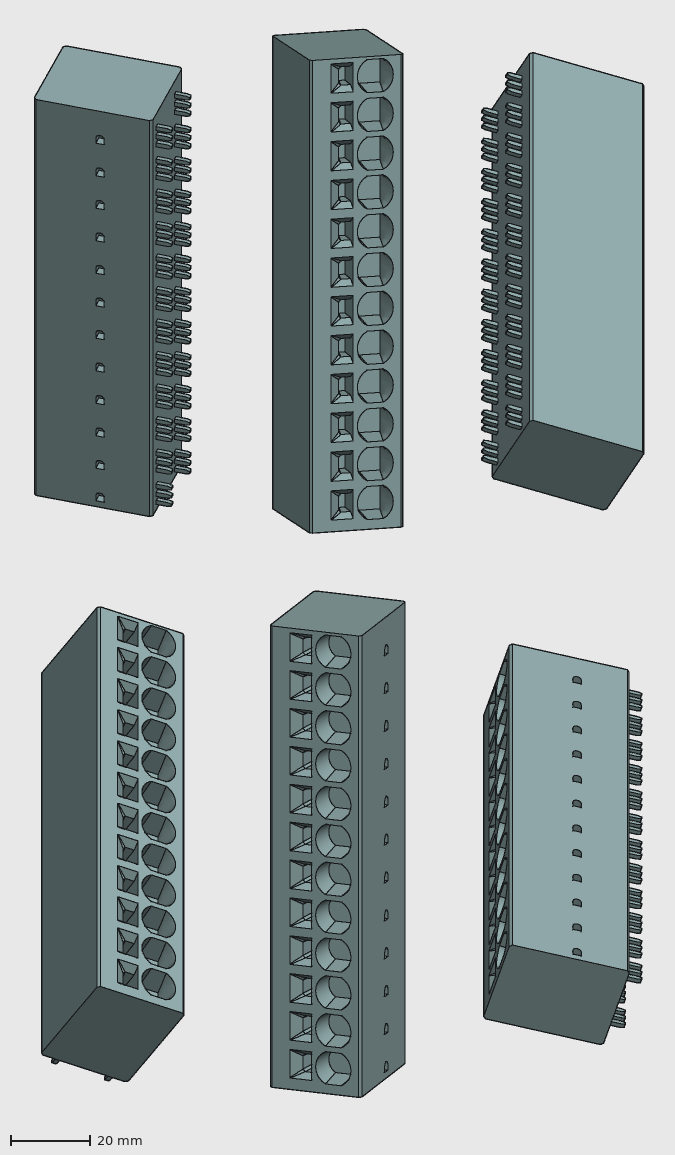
import cadquery as cq
import math

length = 121.8
width = 24.7
overall_depth = 35.5
pin_length = 4.0
housing_depth = overall_depth - pin_length
edge_chamfer = 0.67
entry_face_x = -overall_depth / 2
pin_face_x = entry_face_x + housing_depth

pole_count = 12
end_plate = 1.8
pole_pitch = (length - end_plate) / pole_count
first_pole_z = length / 2 - pole_pitch / 2
pole_centres = [first_pole_z - i * pole_pitch for i in range(pole_count)]

cavity_depth = 7.0

wire_y = -4.9
mouth_radius = 4.8
mouth_half_height = 4.3
floor_radius = 3.9
floor_half_height = 3.3
floor_flat_offset = 3.4

window_straight_y = 1.0
window_mouth_width = 5.8
window_mouth_height = 7.5
window_throat_width = 3.2
window_throat_height = 4.8
window_floor_width = 2.2
window_floor_height = 4.4
window_mouth_corner = 0.1
window_inner_corner = 0.6
funnel_depth = 2.2

slot_x = -0.1
slot_width = 2.2
slot_height = 2.5
slot_depth = 2.4

pin_size = 1.2
pin_tip_height = 0.6
pin_taper_length = 1.0
pin_pitch = pole_pitch / 4
pin_group_offset = -2.0
pins_per_row = 3
pin_row_ys = (6.5, -8.5)


def make_housing():
    housing = cq.Workplane("XY").box(housing_depth, width, length)
    housing = housing.edges("|Z").chamfer(edge_chamfer)
    return housing.translate((entry_face_x + housing_depth / 2, 0, 0))


def entry_plane(depth=0.0):
    """Plane parallel to the entry face, with local axes along Y and Z."""
    return cq.Workplane("YZ", origin=(entry_face_x + depth, 0, 0))


def make_wire_entry():
    """Wire-entry cavity of a pole centred on Z = 0, lofted from mouth to floor."""
    mouth_half_flat = math.sqrt(mouth_radius**2 - mouth_half_height**2)
    mouth_arc_y = mouth_radius * math.cos(math.pi / 4)
    mouth_arc_z = mouth_radius * math.sin(math.pi / 4)
    floor_half_flat = math.sqrt(floor_radius**2 - floor_half_height**2)
    mouth = (
        entry_plane().center(wire_y, 0)
        .moveTo(mouth_half_flat, mouth_half_height)
        .lineTo(-mouth_half_flat, mouth_half_height)
        .threePointArc((-mouth_arc_y, mouth_arc_z), (-mouth_radius, 0))
        .threePointArc((-mouth_arc_y, -mouth_arc_z), (-mouth_half_flat, -mouth_half_height))
        .lineTo(mouth_half_flat, -mouth_half_height)
        .threePointArc((mouth_radius, 0), (mouth_half_flat, mouth_half_height))
        .wire()
    )
    floor = (
        entry_plane(cavity_depth).center(wire_y, 0)
        .moveTo(floor_half_flat, floor_half_height)
        .lineTo(-floor_flat_offset, floor_half_height)
        .lineTo(-floor_flat_offset, 0)
        .lineTo(-floor_flat_offset, -floor_half_height)
        .lineTo(floor_half_flat, -floor_half_height)
        .threePointArc((floor_radius, 0), (floor_half_flat, floor_half_height))
        .wire()
    )
    return cq.Workplane(cq.Solid.makeLoft([mouth.val(), floor.val()], True))


def window_outline(opening_width, height, corner):
    """Rectangle on the straight wall with its two far corners cut off."""
    near = window_straight_y
    far = near + opening_width
    top = height / 2
    return [
        (near, -top),
        (far - corner, -top),
        (far, -top + corner),
        (far, top - corner),
        (far - corner, top),
        (near, top),
    ]


def make_window():
    """Release window cavity of a pole centred on Z = 0."""
    mouth = window_outline(window_mouth_width, window_mouth_height, window_mouth_corner)
    throat = window_outline(window_throat_width, window_throat_height, window_inner_corner)
    floor = window_outline(window_floor_width, window_floor_height, window_inner_corner)
    funnel = (
        entry_plane().polyline(mouth).close()
        .workplane(offset=funnel_depth).polyline(throat).close()
        .loft(ruled=True)
    )
    shaft = (
        entry_plane(funnel_depth).polyline(throat).close()
        .workplane(offset=cavity_depth - funnel_depth).polyline(floor).close()
        .loft(ruled=True)
    )
    return funnel.union(shaft)


def make_slot():
    """Arched test slot of a pole centred on Z = 0."""
    half = slot_width / 2
    base_z = -pole_pitch / 2
    spring_z = base_z + slot_height - half
    return (
        cq.Workplane("XZ", origin=(slot_x, -width / 2, 0))
        .moveTo(-half, base_z)
        .lineTo(half, base_z)
        .lineTo(half, spring_z)
        .threePointArc((0, base_z + slot_height), (-half, spring_z))
        .close()
        .extrude(-slot_depth)
    )


def make_pin(y, z):
    """Square pin standing on the pin face, tapered in Z at its tip."""
    tip_x = pin_face_x + pin_length
    taper_x = tip_x - pin_taper_length
    half = pin_size / 2
    half_tip = pin_tip_height / 2
    outline = [
        (pin_face_x, -half),
        (taper_x, -half),
        (tip_x, -half_tip),
        (tip_x, half_tip),
        (taper_x, half),
        (pin_face_x, half),
    ]
    return cq.Workplane("XZ", origin=(0, y, z)).polyline(outline).close().extrude(half, both=True)


def compound(workplanes):
    """Gather separate solids so that one boolean handles them all."""
    return cq.Workplane(cq.Compound.makeCompound([part.val() for part in workplanes]))


cavity_shapes = (make_wire_entry(), make_window(), make_slot())
cavities = [cavity.translate((0, 0, z)) for cavity in cavity_shapes for z in pole_centres]

pin_offsets = [pin_group_offset + (i - (pins_per_row - 1) / 2) * pin_pitch for i in range(pins_per_row)]
pins = [make_pin(y, z + offset) for y in pin_row_ys for z in pole_centres for offset in pin_offsets]

result = make_housing().cut(compound(cavities)).union(compound(pins))